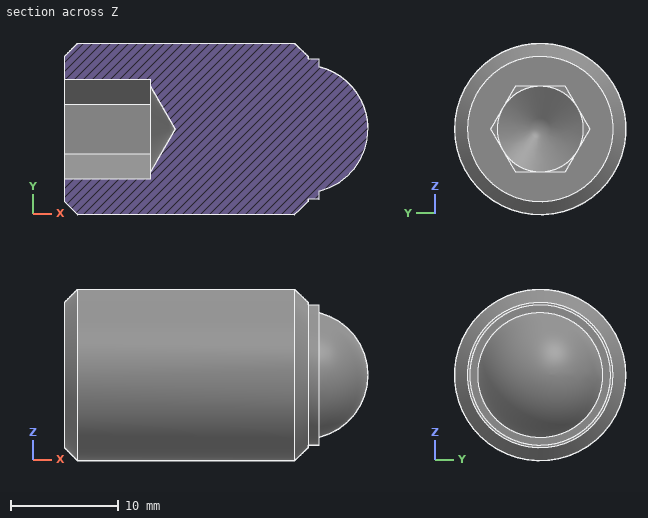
import cadquery as cq
import math

total_length = 28.3

body_diameter = 16.0
body_length = 22.72
core_diameter = 13.55
rear_chamfer_length = 1.22
front_chamfer_length = 1.27

collar_diameter = 13.1
collar_length = 1.02

ball_diameter = 12.0

socket_sides = 6
socket_across_flats = 8.0
socket_depth = 8.0
drill_tip_angle = 120.0

body_radius = body_diameter / 2
core_radius = core_diameter / 2
collar_radius = collar_diameter / 2
collar_end = body_length + collar_length
ball_radius = ball_diameter / 2
ball_center = total_length - ball_radius


def make_screw():
    """Revolve the body, its two end chamfers, the collar and the ball about X."""
    ball_exit_offset = collar_end - ball_center
    ball_exit_radius = math.sqrt(ball_radius**2 - ball_exit_offset**2)
    half_arc_angle = math.acos(ball_exit_offset / ball_radius) / 2
    arc_middle = (
        ball_center + ball_radius * math.cos(half_arc_angle),
        ball_radius * math.sin(half_arc_angle),
    )
    return (
        cq.Workplane("XY")
        .moveTo(0, 0)
        .lineTo(0, core_radius)
        .lineTo(rear_chamfer_length, body_radius)
        .lineTo(body_length - front_chamfer_length, body_radius)
        .lineTo(body_length, core_radius)
        .lineTo(body_length, collar_radius)
        .lineTo(collar_end, collar_radius)
        .lineTo(collar_end, ball_exit_radius)
        .threePointArc(arc_middle, (total_length, 0))
        .close()
        .revolve(360, (0, 0, 0), (1, 0, 0))
    )


def make_socket():
    """Hexagon with corners toward +Y and -Y, ending in a conical drill tip."""
    across_corners = socket_across_flats / math.cos(math.pi / socket_sides)
    hexagon = cq.Workplane("YZ").polygon(socket_sides, across_corners).extrude(socket_depth)

    tip_radius = socket_across_flats / 2
    tip_length = tip_radius / math.tan(math.radians(drill_tip_angle / 2))
    tip = (
        cq.Workplane("XY")
        .moveTo(socket_depth, 0)
        .lineTo(socket_depth, tip_radius)
        .lineTo(socket_depth + tip_length, 0)
        .close()
        .revolve(360, (0, 0, 0), (1, 0, 0))
    )
    return hexagon.union(tip)


result = make_screw().cut(make_socket())